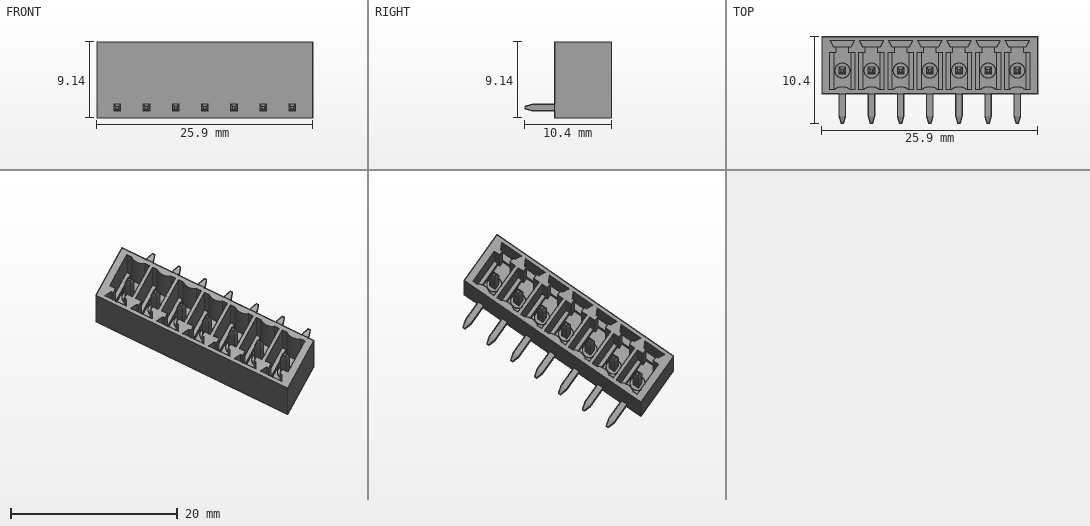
import cadquery as cq

positions = 7
pitch = 3.5
body_length = 25.91
body_depth = 6.86
body_height = 9.14
overlap = 0.1

floor_height = 2.0
ledge_height = 3.0
key_floor_height = 3.0
key_rear = 0.46
key_front = 1.24
neck_front = 1.87
cavity_front = 6.32
key_rear_width = 2.9
key_front_width = 2.1
neck_width = 1.5
cavity_width = 3.06
inner_width = 2.03
rib_width = 1.83
rib_projection = 0.31

pin_size = 0.8
pin_tip_size = 0.3
pin_taper = 0.89
pin_setback = 4.06
leg_height = 1.27
leg_projection = 3.55
post_top = 8.0
recess_diameter = 1.8
recess_depth = 0.3

pin_centers = [(i - (positions - 1) / 2) * pitch for i in range(positions)]


def block(x, width, y_rear, y_front, z_low, z_high):
    """Box centered on x, with its Y range given as distances from the rear face."""
    return (
        cq.Workplane("XY")
        .box(width, y_front - y_rear, z_high - z_low, centered=(True, False, False))
        .translate((x, -y_front, z_low))
    )


def key_slot(x):
    """Dovetail-shaped keying slot along the rear wall."""
    outline = [
        (x - key_rear_width / 2, -key_rear),
        (x + key_rear_width / 2, -key_rear),
        (x + key_front_width / 2, -key_front),
        (x - key_front_width / 2, -key_front),
    ]
    height = body_height + overlap - key_floor_height
    return cq.Workplane("XY", origin=(0, 0, key_floor_height)).polyline(outline).close().extrude(height)


def front_rib(x):
    """Convex rib that bulges into the cavity from the front wall."""
    return (
        cq.Workplane("XY", origin=(x, 0, floor_height))
        .moveTo(-rib_width / 2, -cavity_front)
        .threePointArc((0, rib_projection - cavity_front), (rib_width / 2, -cavity_front))
        .lineTo(rib_width / 2, -body_depth)
        .lineTo(-rib_width / 2, -body_depth)
        .close()
        .extrude(body_height - floor_height)
    )


def cavity(x):
    """Open-topped plug cavity with side ledges, key slot and a round recess at the pin."""
    mouth = body_height + overlap
    main = block(x, cavity_width, neck_front, cavity_front, ledge_height, mouth)
    lower = block(x, inner_width, neck_front, cavity_front, floor_height, mouth)
    neck = block(x, neck_width, key_front, neck_front, floor_height, mouth)
    recess = (
        cq.Workplane("XY", origin=(x, -pin_setback, floor_height - recess_depth))
        .circle(recess_diameter / 2)
        .extrude(recess_depth)
    )
    return main.union(lower).union(neck).union(key_slot(x)).cut(front_rib(x)).union(recess)


def pointed_bar(plane, length):
    """Square bar along the plane normal that tapers to a small flat tip."""
    shank = length - pin_taper
    bar = cq.Workplane(plane).rect(pin_size, pin_size).extrude(shank)
    tip = (
        cq.Workplane(plane)
        .workplane(offset=shank)
        .rect(pin_size, pin_size)
        .workplane(offset=pin_taper)
        .rect(pin_tip_size, pin_tip_size)
        .loft(ruled=True)
    )
    return bar.union(tip)


def pin(x):
    """Right-angle contact: upright post in the cavity and solder leg out of the front."""
    corner = (x, -pin_setback, leg_height)
    post = pointed_bar(cq.Plane(corner, xDir=(1, 0, 0), normal=(0, 0, 1)), post_top - leg_height)
    leg_length = body_depth + leg_projection - pin_setback
    leg = pointed_bar(cq.Plane(corner, xDir=(1, 0, 0), normal=(0, -1, 0)), leg_length)
    return post.union(leg)


result = block(0, body_length, 0, body_depth, 0, body_height)
for center in pin_centers:
    result = result.cut(cavity(center))
for center in pin_centers:
    result = result.union(pin(center))